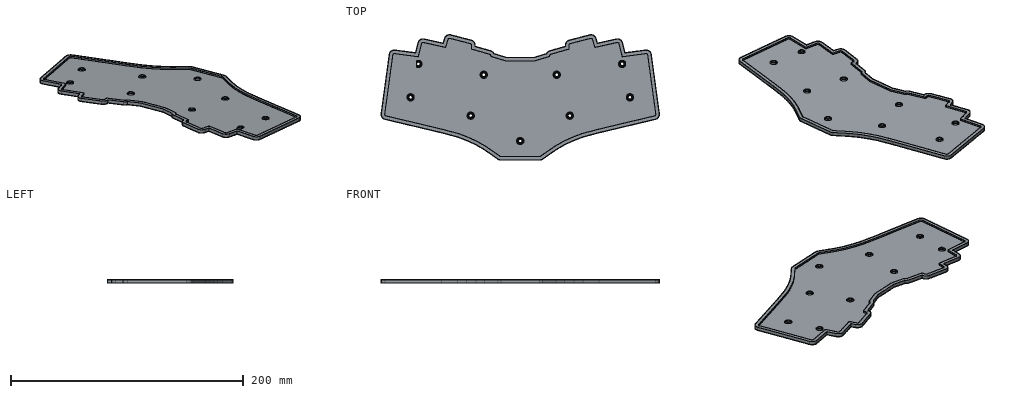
import cadquery as cq

thickness = 3.0
floor_thickness = 1.7

pocket_offset = 1.5
outer_offset = 4.5

hole_diameter = 3.0
boss_top_diameter = 4.5
boss_base_diameter = 6.2
boss_height = (boss_base_diameter - boss_top_diameter) / 2
boss_flat_distance = 1.7

half_outline = [
    (16.5, outer_offset),
    (28.2, 12.7),
    (35.9, 17.2),
    (44.2, 21.0),
    (52.4, 24.2),
    (66.7, 28.0),
    (115.0, 39.5),
    (108.0, 90.2),
    (86.5, 87.3),
    (83.5, 99.7),
    (63.1, 95.2),
    (60.7, 103.3),
    (43.3, 98.8),
    (43.5, 94.5),
    (26.8, 89.7),
    (26.3, 88.0),
    (12.2, 83.7),
]

centre_boss = (0, 16.5)
upper_boss_x = 87.5
upper_boss_y = 82.7
right_bosses = [(42.5, 38.3), (94.2, 54.0), (31.3, 73.5), (upper_boss_x, upper_boss_y)]


def mirrored(points):
    return [(-x, y) for x, y in points]


def offset_outline(distance, base_z, height):
    """Solid prism over the base outline grown by a distance, with rounded convex corners."""
    outline = half_outline + mirrored(reversed(half_outline))
    base_plane = cq.Workplane("XY").workplane(offset=base_z)
    return base_plane.polyline(outline).close().offset2D(distance, "arc").extrude(height)


def boss(centre):
    """Cone frustum standing on the pocket floor."""
    flank = cq.Solid.makeCone(boss_base_diameter / 2, boss_top_diameter / 2, boss_height)
    return cq.Workplane(flank.translate(cq.Vector(*centre, floor_thickness)))


def boss_trim():
    """Block removing the part of the upper left boss that lies beyond its flat."""
    flat_x = -upper_boss_x - boss_flat_distance
    return (
        cq.Workplane("XY", origin=(flat_x - boss_base_diameter / 2, upper_boss_y, floor_thickness))
        .rect(boss_base_diameter, boss_base_diameter)
        .extrude(boss_height)
    )


tray = offset_outline(outer_offset, 0, thickness)
tray = tray.cut(offset_outline(pocket_offset, floor_thickness, thickness - floor_thickness))

boss_centres = [centre_boss] + right_bosses + mirrored(right_bosses)
for centre in boss_centres:
    tray = tray.union(boss(centre))
tray = tray.cut(boss_trim())
holes = cq.Workplane("XY").pushPoints(boss_centres).circle(hole_diameter / 2).extrude(thickness)

result = tray.cut(holes)